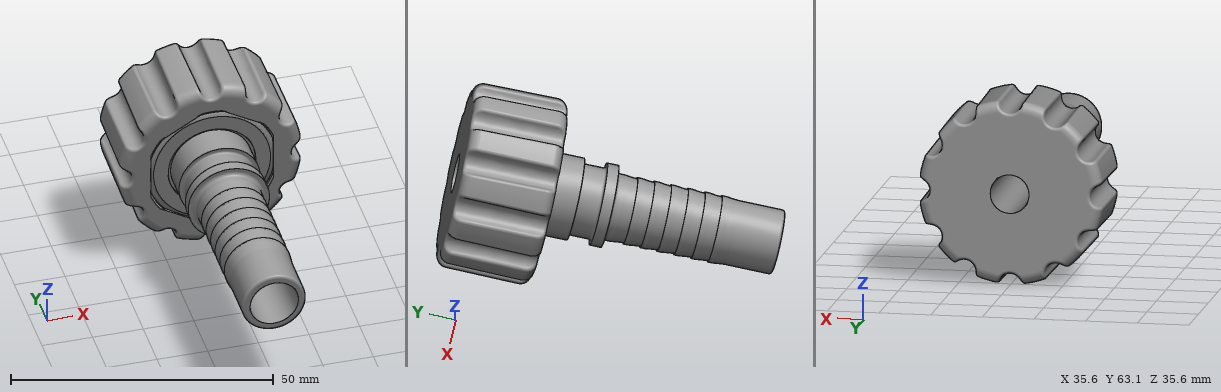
import cadquery as cq
import math

LENGTH = 63.1

WHEEL_LENGTH = 18.2
WHEEL_FRONT_RADIUS = 18.05
WHEEL_REAR_RADIUS = 17.85
RIM_ROUND = 2.0
FLUTE_COUNT = 12
FLUTE_PITCH = 360 / FLUTE_COUNT
FLUTE_FRONT_RADIUS = 2.1
FLUTE_REAR_RADIUS = 2.3
FLUTE_CENTRE_RADIUS = 17.8
FLUTE_REACH = 0.3 * FLUTE_PITCH
FLUTE_EDGE_ROUND = 0.6

SOCKET_ACROSS_FLATS = 24.2
SOCKET_MOUTH_RADIUS = 13.05
SOCKET_CORNER_RADIUS = 12.7
NUT_RECESS = 0.2
NUT_EDGE_RADIUS = 24.0 / 2
NUT_FACE_RADIUS = 11.55
NUT_EDGE_DROP = 0.2
CHAMFER_SLOPE = math.tan(math.radians(30))
NUT_HOLE_RADIUS = 17.3 / 2
NUT_HOLE_DEPTH = 0.6
MOUTH_START = WHEEL_LENGTH - (SOCKET_MOUTH_RADIUS - SOCKET_CORNER_RADIUS) * CHAMFER_SLOPE
NUT_FACE = WHEEL_LENGTH - NUT_RECESS
NUT_EDGE_START = NUT_FACE - NUT_EDGE_DROP
NUT_CHAMFER_DROP = (SOCKET_CORNER_RADIUS - NUT_EDGE_RADIUS) * CHAMFER_SLOPE
SOCKET_FLOOR = NUT_EDGE_START - NUT_CHAMFER_DROP

COLLAR_RADIUS = 16.0 / 2
COLLAR_END = 23.5
NECK_RADIUS = 13.9 / 2
NECK_ROUND = 0.41
FLANGE_START = 27.95
FLANGE_END = 30.15
FLANGE_ROUND = 0.75

BARB_RADIUS = 13.0 / 2
SHANK_RADIUS = 12.5 / 2
BARB_COUNT = 7
BARB_TAPER = 2.4
FIRST_BARB_END = 34.2
LAST_BARB_END = 54.0
BARB_PITCH = (LAST_BARB_END - FIRST_BARB_END) / (BARB_COUNT - 1)
TIP_ROUND = 0.6

BORE_RADIUS = 7.5 / 2
TIP_BORE_RADIUS = 9.5 / 2
TIP_BORE_START = FLANGE_END


def cone(start_radius, start, end_radius, end):
    """Round solid on the axis that changes from one radius to another between two distances."""
    half_section = [(0, -start), (start_radius, -start), (end_radius, -end), (0, -end)]
    return cq.Workplane("XY").polyline(half_section).close().revolve(360, (0, 0), (0, 1))


def cylinder(radius, start, end):
    """Round solid on the axis between two distances."""
    return cone(radius, start, radius, end)


def borders_a_flute(edge):
    """True for an edge around a flute, which lies away from the middle of every lobe."""
    centre = edge.Center()
    angle = math.degrees(math.atan2(centre.z, centre.x)) % FLUTE_PITCH
    angle_from_flute = min(angle, FLUTE_PITCH - angle)
    return math.hypot(centre.x, centre.z) > SOCKET_MOUTH_RADIUS and angle_from_flute < FLUTE_REACH


def make_wheel():
    """Slightly tapered wheel with rounded rims, flutes and softened flute edges."""
    blank = cone(WHEEL_REAR_RADIUS, 0, WHEEL_FRONT_RADIUS, WHEEL_LENGTH)
    blank = blank.edges("%CIRCLE").fillet(RIM_ROUND)
    flute = cone(FLUTE_REAR_RADIUS, 0, FLUTE_FRONT_RADIUS, WHEEL_LENGTH)
    flute = flute.translate((FLUTE_CENTRE_RADIUS, 0, 0))
    wheel = blank
    for index in range(FLUTE_COUNT):
        wheel = wheel.cut(flute.rotate((0, 0, 0), (0, 1, 0), index * FLUTE_PITCH))
    flute_edges = [edge for edge in wheel.edges().vals() if borders_a_flute(edge)]
    return wheel.newObject(flute_edges).fillet(FLUTE_EDGE_ROUND)


def make_nut_groove():
    """Space left in the hexagonal socket of the wheel around and in front of the chamfered nut."""
    hexagon = (
        cq.Workplane("XZ", origin=(0, -SOCKET_FLOOR, 0))
        .polygon(6, SOCKET_ACROSS_FLATS, circumscribed=True)
        .extrude(WHEEL_LENGTH - SOCKET_FLOOR)
    )
    corners = cylinder(SOCKET_CORNER_RADIUS, SOCKET_FLOOR, MOUTH_START)
    mouth = cone(SOCKET_CORNER_RADIUS, MOUTH_START, SOCKET_MOUTH_RADIUS, WHEEL_LENGTH)
    socket = hexagon.intersect(corners.union(mouth))
    chamfer = cone(SOCKET_CORNER_RADIUS, SOCKET_FLOOR, NUT_EDGE_RADIUS, NUT_EDGE_START)
    edge_break = cone(NUT_EDGE_RADIUS, NUT_EDGE_START, NUT_FACE_RADIUS, NUT_FACE)
    return socket.cut(chamfer).cut(edge_break)


def make_tail():
    """Collar, neck, flange and barbed shank turned as one piece."""
    outline = (
        cq.Workplane("XY")
        .lineTo(COLLAR_RADIUS, 0)
        .lineTo(COLLAR_RADIUS, -COLLAR_END)
        .lineTo(NECK_RADIUS + NECK_ROUND, -COLLAR_END)
        .radiusArc((NECK_RADIUS, -COLLAR_END - NECK_ROUND), -NECK_ROUND)
        .lineTo(NECK_RADIUS, -FLANGE_START + NECK_ROUND)
        .radiusArc((NECK_RADIUS + NECK_ROUND, -FLANGE_START), -NECK_ROUND)
        .lineTo(COLLAR_RADIUS, -FLANGE_START)
        .lineTo(COLLAR_RADIUS, -FLANGE_END)
        .lineTo(BARB_RADIUS + FLANGE_ROUND, -FLANGE_END)
        .radiusArc((BARB_RADIUS, -FLANGE_END - FLANGE_ROUND), -FLANGE_ROUND)
    )
    for index in range(BARB_COUNT):
        barb_end = FIRST_BARB_END + index * BARB_PITCH
        outline = outline.lineTo(BARB_RADIUS, -barb_end + BARB_TAPER).lineTo(SHANK_RADIUS, -barb_end)
        if index < BARB_COUNT - 1:
            outline = outline.lineTo(BARB_RADIUS, -barb_end)
    outline = (
        outline.lineTo(SHANK_RADIUS, -LENGTH + TIP_ROUND)
        .radiusArc((SHANK_RADIUS - TIP_ROUND, -LENGTH), TIP_ROUND)
        .lineTo(0, -LENGTH)
        .close()
    )
    return outline.revolve(360, (0, 0), (0, 1))


def make_bore():
    """Through bore that opens out through a 45 degree cone to the wider bore of the shank."""
    cone_start = TIP_BORE_START - (TIP_BORE_RADIUS - BORE_RADIUS)
    through = cylinder(BORE_RADIUS, 0, LENGTH)
    transition = cone(BORE_RADIUS, cone_start, TIP_BORE_RADIUS, TIP_BORE_START)
    return through.union(transition).union(cylinder(TIP_BORE_RADIUS, TIP_BORE_START, LENGTH))


nut_hole = cylinder(NUT_HOLE_RADIUS, NUT_FACE - NUT_HOLE_DEPTH, NUT_FACE)
wheel_and_nut = make_wheel().cut(make_nut_groove()).cut(nut_hole)
result = wheel_and_nut.union(make_tail()).cut(make_bore())